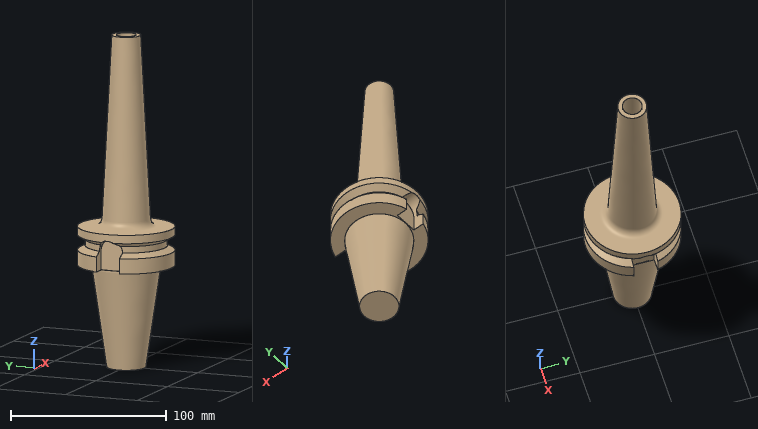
import cadquery as cq
import math


GAUGE_DIAMETER = 44.45
SHANK_LENGTH = 65.4
SHANK_TAPER = 7 / 24

FLANGE_DIAMETER = 63.0
FLANGE_BOTTOM_Z = 1.6
FLANGE_TOP_Z = 27.0

GROOVE_DIAMETER = 53.0
GROOVE_CENTRE_Z = 16.5
GROOVE_OUTER_WIDTH = 10.0
GROOVE_FLANK_ANGLE = 30.0

SLOT_WIDTH = 16.1
SLOT_FLOOR_X = 22.5
SLOT_ARC_CENTRE_Z = 14.5

NOSE_TOP_Z = 152.4
NOSE_TIP_DIAMETER = 18.8
NOSE_HALF_ANGLE = 3.0
NOSE_FILLET_RADIUS = 5.1

BORE_DIAMETER = 12.7
BORE_DEPTH = 36.0


def make_body():
    """Revolve shank, flange with its gripper groove, root fillet and nose as one profile."""
    gauge_radius = GAUGE_DIAMETER / 2
    shank_end_radius = gauge_radius - SHANK_LENGTH * SHANK_TAPER / 2
    flange_radius = FLANGE_DIAMETER / 2
    groove_radius = GROOVE_DIAMETER / 2

    groove_flank_height = (flange_radius - groove_radius) * math.tan(math.radians(GROOVE_FLANK_ANGLE))
    groove_outer_half = GROOVE_OUTER_WIDTH / 2
    groove_floor_half = groove_outer_half - groove_flank_height

    nose_angle = math.radians(NOSE_HALF_ANGLE)
    tip_radius = NOSE_TIP_DIAMETER / 2
    fillet_end_z = FLANGE_TOP_Z + NOSE_FILLET_RADIUS * (1 - math.sin(nose_angle))
    fillet_end_radius = tip_radius + (NOSE_TOP_Z - fillet_end_z) * math.tan(nose_angle)
    fillet_start_radius = fillet_end_radius + NOSE_FILLET_RADIUS * math.cos(nose_angle)

    profile = (
        cq.Workplane("XZ")
        .moveTo(0, -SHANK_LENGTH)
        .lineTo(shank_end_radius, -SHANK_LENGTH)
        .lineTo(gauge_radius, 0)
        .lineTo(gauge_radius, FLANGE_BOTTOM_Z)
        .lineTo(flange_radius, FLANGE_BOTTOM_Z)
        .lineTo(flange_radius, GROOVE_CENTRE_Z - groove_outer_half)
        .lineTo(groove_radius, GROOVE_CENTRE_Z - groove_floor_half)
        .lineTo(groove_radius, GROOVE_CENTRE_Z + groove_floor_half)
        .lineTo(flange_radius, GROOVE_CENTRE_Z + groove_outer_half)
        .lineTo(flange_radius, FLANGE_TOP_Z)
        .lineTo(fillet_start_radius, FLANGE_TOP_Z)
        .tangentArcPoint((fillet_end_radius, fillet_end_z), relative=False)
        .lineTo(tip_radius, NOSE_TOP_Z)
        .lineTo(0, NOSE_TOP_Z)
        .close()
    )
    return profile.revolve(360, (0, 0, 0), (0, 1, 0))


def make_drive_slot(side):
    """Round-topped slot cutter, open at the flange bottom; side is -1 for -X or +1 for +X."""
    half_width = SLOT_WIDTH / 2
    slot_depth = FLANGE_DIAMETER / 2 - SLOT_FLOOR_X
    return (
        cq.Workplane("YZ", origin=(side * SLOT_FLOOR_X, 0, 0))
        .moveTo(-half_width, FLANGE_BOTTOM_Z)
        .lineTo(half_width, FLANGE_BOTTOM_Z)
        .lineTo(half_width, SLOT_ARC_CENTRE_Z)
        .threePointArc((0, SLOT_ARC_CENTRE_Z + half_width), (-half_width, SLOT_ARC_CENTRE_Z))
        .close()
        .extrude(side * slot_depth)
    )


def make_bore():
    """Flat-bottomed tool bore cutter, sunk from the nose tip."""
    return (
        cq.Workplane("XY", origin=(0, 0, NOSE_TOP_Z))
        .circle(BORE_DIAMETER / 2)
        .extrude(-BORE_DEPTH)
    )


result = make_body().cut(make_bore())
for slot_side in (-1, 1):
    result = result.cut(make_drive_slot(slot_side))